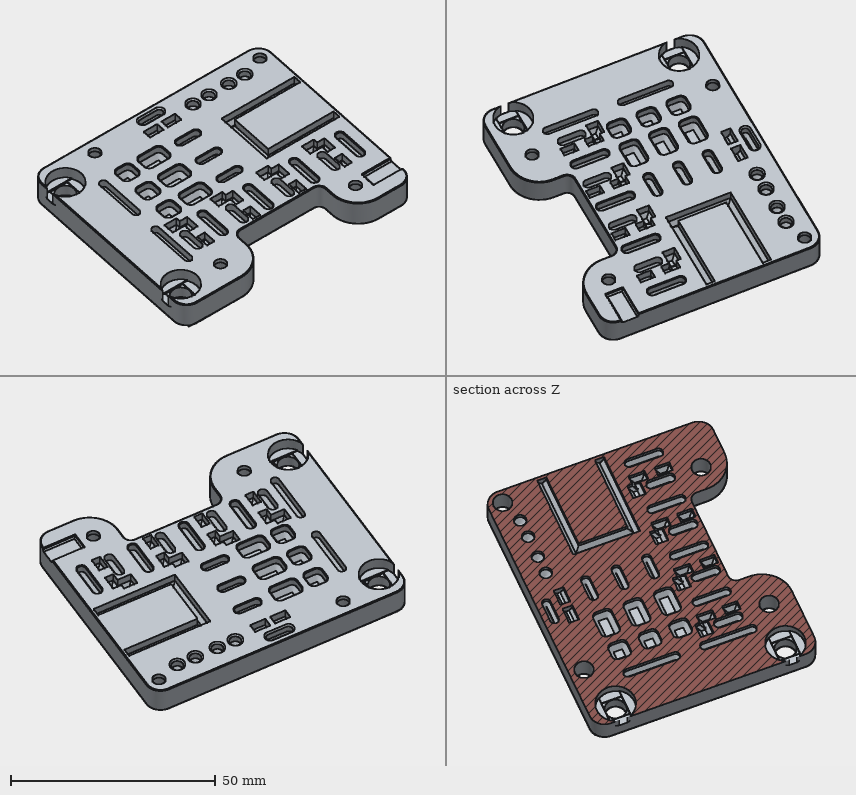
import cadquery as cq
plate_width = 59.65
plate_length = 72.2
plate_height = 7.2
strip_height = 0.8
plate_top = strip_height + plate_height
through = 2 * plate_top

corner_radius = 4.0
lobe_radius = 8.0
notch_fillet = 2.0
notch_x = 46.9
notch_front_y = 26.1
notch_back_y = 53.15
top_chamfer = 0.2

strip_end_gap = 0.8
strip_front_y = 2.2
strip_depth = 5.9
strip_edge_chamfer = 0.3
strip_gap_diameter = 6.85

mount_points = [(3.9, 16.8), (53.0, 16.8), (3.9, 68.75), (52.7, 59.5)]
mount_diameter = 3.3
mount_relief_diameter = 4.7
mount_rim_height = 1.2

screw_points = [(7.3, 4.85), (52.35, 4.85)]
screw_diameter = 5.4
counterbore_diameter = 9.9
counterbore_depth = 3.3
bridge_step = 0.3

wall_height = 2.25
narrow_flank = 1.1
wide_flank = 1.3
rim_lip = 0.2
ridge_width = 0.15

row_count = 4
row_pitch = 14.405
last_row_y = 67.4
row_slot_x = 40.8
row_slot_size = (10.4, 2.7)
short_slot_x = 42.0
short_slot_size = (7.4, 2.45)
short_slot_drop = 7.7
pad_back_drop = 3.6
pad_front_drop = 5.9
right_pad_x = (42.2, 46.0)
left_pad_x = (35.3, 39.4)
lower_pad_x = (34.0, 37.25)
lower_pad_front_drop = 9.7
neck_overlap = 1.5

column_count = 3
column_pitch = 8.1
first_column_x = 14.15
column_slot_size = (2.7, 7.6)
column_slot_y = 37.9
large_pocket_size = (5.35, 7.9)
large_pocket_y = 27.15
small_pocket_size = (5.35, 5.3)
small_pocket_y = 18.8

long_slot_xs = [19.8, 40.15]
long_slot_y = 11.85
long_slot_size = (14.8, 2.2)

groove_width = 2.3
groove_x = (14.2, 31.85)
groove_y = (48.4, 71.3)

socket_x = 5.9
socket_ys = [46.1, 51.1, 57.3, 62.4]
socket_diameter = 3.0
socket_lip = 0.4
lipped_slot_center = (2.75, 35.45)
lipped_slot_size = (2.95, 8.1)

trough_x = (5.8, 8.3)
trough_ys = [32.8, 38.4]
trough_length = 4.25
trough_flank = 0.9

recess_x = (50.6, 55.4)
recess_front_y = 63.1
recess_wall_height = 0.6
recess_flank = 0.4


def cylinders(points, diameter, bottom, top):
    circles = cq.Workplane("XY").workplane(offset=bottom).pushPoints(points).circle(diameter / 2)
    return circles.extrude(top - bottom)


def box(x_range, y_range, z_range):
    size = [high - low for low, high in (x_range, y_range, z_range)]
    return cq.Workplane("XY").box(*size, centered=False).translate((x_range[0], y_range[0], z_range[0]))


def fillet_upright(body, x, y, radius):
    """Round the upright edge that stands at (x, y)."""
    near = cq.selectors.BoxSelector((x - 0.7, y - 0.7, 0), (x + 0.7, y + 0.7, plate_top))
    return body.edges("|Z").edges(near).fillet(radius)


def make_plate():
    plate = box((0, plate_width), (0, plate_length), (strip_height, plate_top))
    plate = plate.cut(box((notch_x, plate_width), (notch_front_y, notch_back_y), (0, through)))
    for x in (0, plate_width):
        for y in (0, plate_length):
            plate = fillet_upright(plate, x, y, corner_radius)
    for y in (notch_front_y, notch_back_y):
        plate = fillet_upright(plate, plate_width, y, lobe_radius)
        plate = fillet_upright(plate, notch_x, y, notch_fillet)
    return plate.faces(">Z").edges().chamfer(top_chamfer)


def make_strip():
    x_range = (strip_end_gap, plate_width - strip_end_gap)
    strip = box(x_range, (strip_front_y, strip_front_y + strip_depth), (0, strip_height))
    strip = strip.edges(">Y and <Z").chamfer(strip_edge_chamfer)
    return strip.cut(cylinders(screw_points, strip_gap_diameter, 0, strip_height))


def pocket_prism(plane, width, length, wall, flank):
    """Prism hanging below Z = 0, with upright walls above flanks that narrow it to a flat or a ridge."""
    half = width / 2
    points = [(-half, 0), (half, 0), (half, -wall), (half - flank, -wall - flank)]
    if flank < half:
        points.append((flank - half, -wall - flank))
    points.append((-half, -wall))
    return cq.Workplane(plane).polyline(points).close().extrude(length / 2, both=True)


def square_pocket(x_range, y_range, flank=narrow_flank, wall=wall_height):
    """Pocket with square corners."""
    size_x = x_range[1] - x_range[0]
    size_y = y_range[1] - y_range[0]
    pocket = pocket_prism("XZ", size_x, size_y, wall, flank)
    pocket = pocket.intersect(pocket_prism("YZ", size_y, size_x, wall, flank))
    return pocket.translate((sum(x_range) / 2, sum(y_range) / 2, plate_top))


def rounded_block(size, height, flank):
    """Block with its top at Z = 0, round upright edges and a 45 degree flank around its foot."""
    corner = flank + ridge_width / 4
    block = cq.Workplane("XY").rect(*size).extrude(-height)
    return block.edges("|Z").fillet(corner).faces("<Z").edges().chamfer(flank)


def round_pocket(x, y, size, flank=None, lip=0.0):
    """Pocket with round corners and a bevelled rim; without a flank width it narrows to a ridge."""
    inner_size = [side - 2 * lip for side in size]
    if flank is None:
        flank = (min(inner_size) - ridge_width) / 2
    pocket = rounded_block(inner_size, wall_height + flank, flank)
    if lip > 0:
        rim = cq.Workplane("XY").rect(*size).extrude(2 * lip).edges("|Z").fillet(flank + lip)
        pocket = pocket.union(rim.faces("<Z").edges().chamfer(lip).translate((0, 0, -lip)))
    return pocket.translate((x, y, plate_top))


def socket(x, y):
    """Round socket with a bevelled rim and a conical tip."""
    radius = socket_diameter / 2
    rim_radius = radius + socket_lip
    profile = [
        (0, 0),
        (rim_radius, 0),
        (radius, -socket_lip),
        (radius, -wall_height),
        (0, -wall_height - radius),
    ]
    body = cq.Workplane("XZ").polyline(profile).close().revolve(360, (0, 0), (0, 1))
    return body.translate((x, y, plate_top))


def row_pockets(y):
    """One row of pockets; y is the centre of its long slot."""
    pad_y = (y - pad_front_drop, y - pad_back_drop)
    neck_x = (left_pad_x[0], lower_pad_x[1])
    neck_width = neck_x[1] - neck_x[0]
    return [
        round_pocket(row_slot_x, y, row_slot_size, lip=rim_lip),
        round_pocket(short_slot_x, y - short_slot_drop, short_slot_size),
        square_pocket(right_pad_x, pad_y),
        square_pocket(left_pad_x, pad_y),
        square_pocket(lower_pad_x, (y - lower_pad_front_drop, pad_y[0])),
        square_pocket(neck_x, (pad_y[0] - neck_overlap, pad_y[0] + neck_overlap), neck_width / 2),
    ]


def column_pockets(x):
    return [
        round_pocket(x, column_slot_y, column_slot_size, lip=rim_lip),
        round_pocket(x, large_pocket_y, large_pocket_size, wide_flank, rim_lip),
        round_pocket(x, small_pocket_y, small_pocket_size, wide_flank, rim_lip),
    ]


def trough(y):
    """Trough with flanks along its sides and upright ends."""
    prism = pocket_prism("XZ", trough_x[1] - trough_x[0], trough_length, wall_height, trough_flank)
    return prism.translate((sum(trough_x) / 2, y, plate_top))


def groove():
    """V-bottomed groove around three sides of an island, closed by upright ends at the back."""
    flank = groove_width / 2
    width = groove_x[1] - groove_x[0]
    beyond_back = groove_y[1] + groove_width
    outer = square_pocket(groove_x, (groove_y[0], beyond_back), flank)
    island_x = (groove_x[0] + groove_width, groove_x[1] - groove_width)
    island_y = (groove_y[0] + groove_width, beyond_back + groove_width)
    island = box(island_x, island_y, (0, plate_top))
    foot = (
        cq.Workplane("XY")
        .workplane(offset=plate_top - wall_height - flank)
        .center(sum(island_x) / 2, sum(island_y) / 2)
        .rect(width - groove_width, island_y[1] - island_y[0] + groove_width)
        .workplane(offset=flank)
        .rect(island_x[1] - island_x[0], island_y[1] - island_y[0])
        .loft(ruled=True)
    )
    behind = box(groove_x, (groove_y[1], beyond_back), (0, plate_top))
    return outer.cut(island).cut(foot).cut(behind)


def screw_seat(point):
    """Counterbore over a slot as wide as the hole, then a square, then the round hole."""
    x, y = point
    half = screw_diameter / 2
    side_x = (x - half, x + half)
    seat_z = plate_top - counterbore_depth
    slot_z = seat_z - bridge_step
    square_z = slot_z - bridge_step
    slot = cylinders([point], counterbore_diameter, slot_z, seat_z)
    slot = slot.intersect(box(side_x, (y - plate_length, y + plate_length), (slot_z, seat_z)))
    seat = cylinders([point], counterbore_diameter, seat_z, through)
    square = box(side_x, (y - half, y + half), (square_z, through))
    return seat.union(slot).union(square).union(cylinders([point], screw_diameter, 0, through))


cutters = [
    cylinders(mount_points, mount_diameter, 0, through),
    cylinders(mount_points, mount_relief_diameter, 0, plate_top - mount_rim_height),
    groove(),
    square_pocket(recess_x, (recess_front_y, plate_length + recess_flank), recess_flank, recess_wall_height),
    round_pocket(*lipped_slot_center, lipped_slot_size, lip=socket_lip),
]
cutters += [screw_seat(point) for point in screw_points]
for row in range(row_count):
    cutters += row_pockets(last_row_y - row * row_pitch)
for column in range(column_count):
    cutters += column_pockets(first_column_x + column * column_pitch)
cutters += [round_pocket(x, long_slot_y, long_slot_size) for x in long_slot_xs]
cutters += [socket(socket_x, y) for y in socket_ys]
cutters += [trough(y) for y in trough_ys]

result = make_plate().union(make_strip())
for cutter in cutters:
    result = result.cut(cutter)